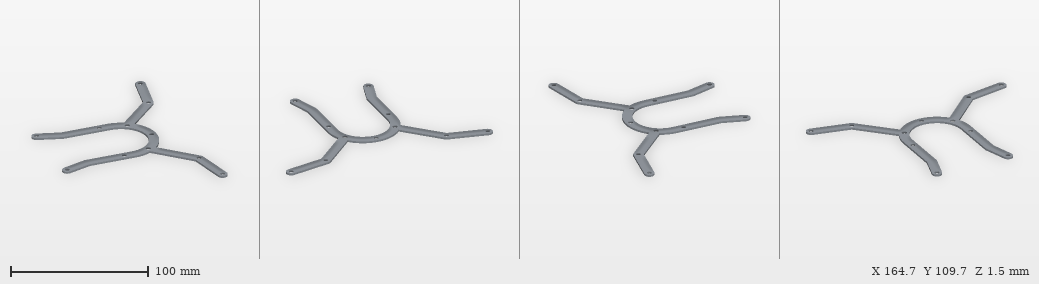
import cadquery as cq
import math

thickness = 1.5
strip_width = 7.5
end_radius = strip_width / 2
overall_length = 164.7
overall_width = 109.7

ring_radius = 23.9
ring_outer_radius = ring_radius + strip_width / 2
ring_inner_radius = ring_radius - strip_width / 2

arm_tip = (overall_length / 2 - end_radius, 47.5)
arm_elbow = (48.3, 41.3)
junction_angle = math.radians(33)
arm_root = (ring_radius * math.cos(junction_angle), ring_radius * math.sin(junction_angle))
leg_top = (ring_radius, 0)
leg_bend = (ring_radius, -36.7)
foot = (29.3, arm_tip[1] + 2 * end_radius - overall_width)

hole_diameter = 3.5
junction_hole_diameter = 3.8
ring_top_hole = (0, ring_radius)
leg_hole = (ring_radius, -7.4)


def mirrored(point):
    """Return the point and its twin across the YZ plane."""
    x, y = point
    return [(x, y), (-x, y)]


def strip(start, end):
    """Round-ended strip whose end centres are the two given points."""
    dx = end[0] - start[0]
    dy = end[1] - start[1]
    middle = ((start[0] + end[0]) / 2, (start[1] + end[1]) / 2)
    return (
        cq.Workplane("XY")
        .center(*middle)
        .slot2D(math.hypot(dx, dy) + strip_width, strip_width, math.degrees(math.atan2(dy, dx)))
        .extrude(thickness)
    )


def half_ring():
    """Upper half of the ring that joins the two legs."""
    return (
        cq.Workplane("XY")
        .moveTo(ring_outer_radius, 0)
        .threePointArc((0, ring_outer_radius), (-ring_outer_radius, 0))
        .lineTo(-ring_inner_radius, 0)
        .threePointArc((0, ring_inner_radius), (ring_inner_radius, 0))
        .close()
        .extrude(thickness)
    )


def pins(points, diameter):
    """Cylinders through the plate, used to cut the holes."""
    return cq.Workplane("XY").pushPoints(points).circle(diameter / 2).extrude(thickness)


side = strip(arm_tip, arm_elbow)
for start, end in [(arm_elbow, arm_root), (leg_top, leg_bend), (leg_bend, foot)]:
    side = side.union(strip(start, end))
plate = half_ring().union(side).union(side.mirror("YZ"))

ring_opening = cq.Workplane("XY").circle(ring_inner_radius).extrude(thickness)
plate = plate.cut(ring_opening)

small_holes = [ring_top_hole]
for point in [arm_tip, arm_elbow, leg_hole, foot]:
    small_holes += mirrored(point)
plate = plate.cut(pins(small_holes, hole_diameter))
result = plate.cut(pins(mirrored(arm_root), junction_hole_diameter))